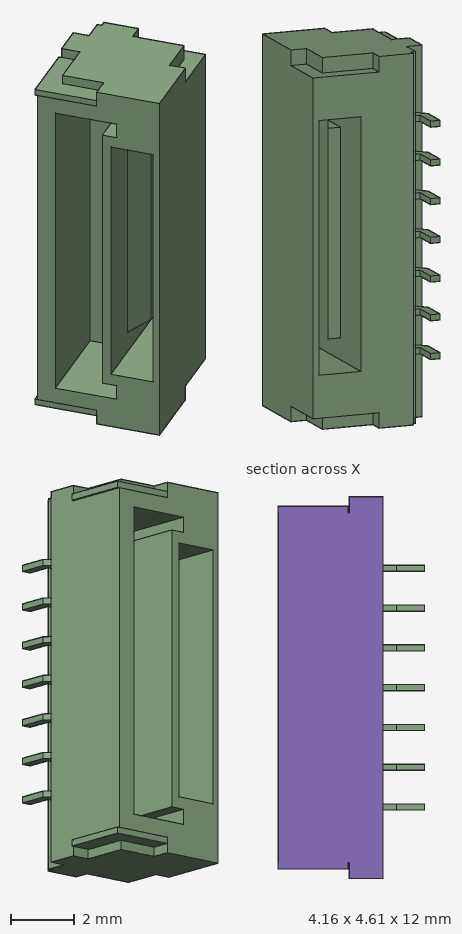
import cadquery as cq

housing_width = 4.08
housing_depth = 4.25
housing_length = 12.0
half_length = housing_length / 2

ledge_y = 3.30
ledge_width = 0.53
upper_step_y = 4.05
upper_step_width = 0.68

pocket_left = 0.60
pocket_right = 2.17
hook_right = 2.65
pocket_length = 9.95
hook_height = 0.49
pocket_depth = 3.2

window_left = 2.46
window_right = 3.87
window_length = 8.22

rib_height = 0.42
rib_length = 6.8
rib_front_y = 1.5
rib_ramp_length = 1.04

recess_depth = 0.50
front_recess_x = 1.98
front_recess_y = 2.23
front_side_arm = 0.61
front_face_arm = 0.64
back_recess_x = 2.24
back_recess_y = 1.86
back_arm = 0.53

plate_thickness = 0.20
plate_side_overhang = 0.08
plate_end_gap = 0.03
plate_face_overhang = 0.005

pin_count = 7
pin_pitch = 1.25
pin_thickness = 0.20
pin_tip_y = 4.603
pin_left = -plate_side_overhang
pin_tail_width = 0.32
pin_foot_height = 0.42
pin_bend_width = 0.33
pin_bend_height = 0.30
pin_end_gap = 0.03


def box(x0, x1, y0, y1, z0, z1):
    """Axis-aligned box between two opposite corners."""
    return cq.Workplane("XY").box(x1 - x0, y1 - y0, z1 - z0, centered=False).translate((x0, y0, z0))


def prism(points, z0, height):
    """Outline in X and Y, extruded upwards from z0."""
    return cq.Workplane("XY").workplane(offset=z0).polyline(points).close().extrude(height)


def make_housing():
    outline = [
        (0, 0),
        (housing_width, 0),
        (housing_width, housing_depth),
        (upper_step_width, housing_depth),
        (upper_step_width, upper_step_y),
        (ledge_width, upper_step_y),
        (ledge_width, ledge_y),
        (0, ledge_y),
    ]
    return prism(outline, -half_length, housing_length)


def make_pocket():
    half_pocket = pocket_length / 2
    slot = box(pocket_left, pocket_right, 0, pocket_depth, -half_pocket, half_pocket)
    hook = box(pocket_left, hook_right, 0, pocket_depth, half_pocket - hook_height, half_pocket)
    return slot.union(hook).union(hook.mirror("XY"))


def make_window():
    half_window = window_length / 2
    return box(window_left, window_right, 0, housing_depth, -half_window, half_window)


def make_rib():
    rib_tip = window_left + rib_height
    outline = [
        (window_left, rib_front_y),
        (rib_tip, rib_front_y + rib_ramp_length),
        (window_left, rib_front_y + rib_ramp_length),
    ]
    return prism(outline, -rib_length / 2, rib_length)


def front_corner_outline(left, front, end_y):
    """L outline round the front left corner."""
    return [
        (left, front),
        (front_recess_x, front),
        (front_recess_x, front_face_arm),
        (front_side_arm, front_face_arm),
        (front_side_arm, end_y),
        (left, end_y),
    ]


def make_end_recesses():
    """Front left and back right recesses of the upper end."""
    back_outline = [
        (housing_width, housing_depth),
        (housing_width - back_recess_x, housing_depth),
        (housing_width - back_recess_x, housing_depth - back_arm),
        (housing_width - back_arm, housing_depth - back_arm),
        (housing_width - back_arm, housing_depth - back_recess_y),
        (housing_width, housing_depth - back_recess_y),
    ]
    floor_z = half_length - recess_depth
    front = prism(front_corner_outline(0, 0, front_recess_y), floor_z, recess_depth)
    return front.union(prism(back_outline, floor_z, recess_depth))


def make_plate():
    end_y = front_recess_y - plate_end_gap
    outline = front_corner_outline(-plate_side_overhang, -plate_face_overhang, end_y)
    return prism(outline, half_length - recess_depth, plate_thickness)


def make_pin(center_z):
    foot_right = ledge_width - pin_end_gap
    tail_right = pin_left + pin_tail_width
    outline = [
        (foot_right, ledge_y),
        (foot_right, ledge_y + pin_foot_height),
        (tail_right, ledge_y + pin_foot_height),
        (tail_right, pin_tip_y),
        (pin_left, pin_tip_y),
        (pin_left, ledge_y + pin_bend_height),
        (pin_left + pin_bend_width, ledge_y),
    ]
    return prism(outline, center_z - pin_thickness / 2, pin_thickness)


end_recesses = make_end_recesses()
plate = make_plate()

result = make_housing().cut(make_pocket()).cut(make_window()).union(make_rib())
result = result.cut(end_recesses).cut(end_recesses.mirror("XY"))
result = result.union(plate).union(plate.mirror("XY"))

for index in range(pin_count):
    result = result.union(make_pin((index - (pin_count - 1) / 2) * pin_pitch))